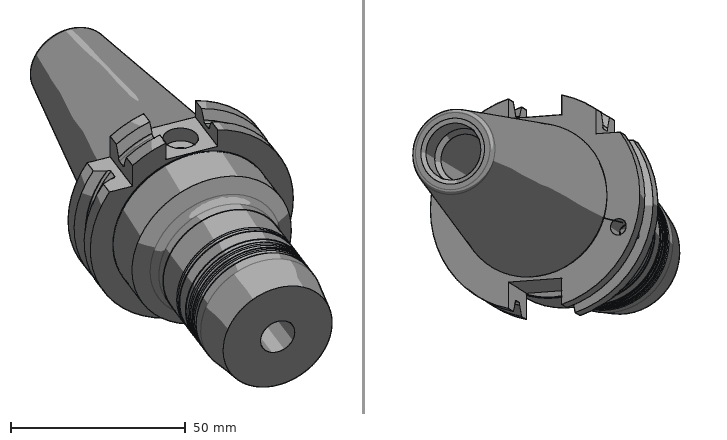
import cadquery as cq
import math

total_length = 148.4
taper_end = 69.6
flange_start = 71.5
flange_width = 15.9
flange_end = flange_start + flange_width
shoulder_start = 101.5
collar_end = 110.0
nose_taper_start = 136.8

taper_slope = 3.5 / 24
taper_small_radius = 12.3
taper_big_radius = taper_small_radius + taper_slope * taper_end
neck_radius = 21.8
flange_radius = 31.8
body_radius = 25.0
collar_radius = 18.8
nose_radius = 19.0
nose_tip_radius = 17.0
taper_rim_fillet = 1.2
body_relief_width = 0.5
body_relief_depth = 0.3
shoulder_angle = 60.0
shoulder_fillet = 3.1
selector_margin = 0.1

groove_center = flange_start + flange_width / 2
groove_mouth_half = 3.5
groove_wall_half = 2.0
groove_wall_radius = 29.0
groove_floor_radius = 28.2
groove_corner_fillet = 0.6

band_depth = 0.22
band_ramp = 0.5
nose_bands = [
    (119.8, 121.5, band_ramp, 0.0),
    (126.0, 127.8, 0.0, band_ramp),
    (128.7, 130.5, band_ramp, 0.0),
    (131.5, 133.5, band_ramp, band_ramp),
]

mouth_radius = 9.6
mouth_depth = 0.6
pilot_radius = 8.3
pilot_depth = 8.2
pilot_cone_length = 1.6
thread_radius = 7.0
thread_depth = 74.2
through_radius = 5.3

slot_width = 16.2
top_slot_height = body_radius
bottom_slot_height = 23.0
notch_corner = 18.5
chip_radius = 5.0
chip_depth = 4.5
chip_pilot_radius = 1.8
chip_pilot_depth = 1.5
drill_tip_ratio = 0.6

coolant_radius = 2.4
coolant_depth = groove_center - flange_start
coolant_outlet_floor = 25.8
coolant_circle_radius = 26.9
coolant_angle = 20.0

needle_radius = 0.07
needle_length = 27.9
needle_angle = 17.0
needle_station = 71.1


def revolve_about_axis(outline):
    """Revolve a closed XZ outline (Z is the radius) around the tool axis."""
    return outline.close().revolve(360, (0, 0, 0), (1, 0, 0))


def flange_box(y_min, y_max, z_min, z_max):
    """Box as wide as the flange, used to cut through it."""
    return (
        cq.Workplane("XY")
        .box(flange_width, y_max - y_min, z_max - z_min, centered=False)
        .translate((flange_start, y_min, z_min))
    )


def make_blank():
    """Turned outside of the holder: taper, neck, flange, body, shoulder and nose."""
    shoulder_end = shoulder_start + (body_radius - collar_radius) / math.tan(math.radians(shoulder_angle))
    blank = revolve_about_axis(
        cq.Workplane("XZ")
        .moveTo(0, 0)
        .lineTo(0, taper_small_radius)
        .lineTo(taper_end, taper_big_radius)
        .lineTo(taper_end, neck_radius)
        .lineTo(flange_start, neck_radius)
        .lineTo(flange_start, flange_radius)
        .lineTo(flange_end, flange_radius)
        .lineTo(flange_end, body_radius - body_relief_depth)
        .lineTo(flange_end + body_relief_width, body_radius - body_relief_depth)
        .lineTo(flange_end + body_relief_width, body_radius)
        .lineTo(shoulder_start, body_radius)
        .lineTo(shoulder_end, collar_radius)
        .lineTo(collar_end, collar_radius)
        .lineTo(collar_end, nose_radius)
        .lineTo(nose_taper_start, nose_radius)
        .lineTo(total_length, nose_tip_radius)
        .lineTo(total_length, 0)
    )
    blank = blank.faces("<X").edges().fillet(taper_rim_fillet)
    shoulder_root = cq.selectors.BoxSelector(
        (shoulder_end - selector_margin, -body_radius, -body_radius),
        (shoulder_end + selector_margin, body_radius, body_radius),
    )
    return blank.edges(shoulder_root).fillet(shoulder_fillet)


def make_gripper_groove():
    """Ring with 30 degree flanks, short upright walls and a rounded floor."""
    ring = revolve_about_axis(
        cq.Workplane("XZ")
        .moveTo(groove_center - groove_mouth_half, flange_radius)
        .lineTo(groove_center - groove_wall_half, groove_wall_radius)
        .lineTo(groove_center - groove_wall_half, groove_floor_radius)
        .lineTo(groove_center + groove_wall_half, groove_floor_radius)
        .lineTo(groove_center + groove_wall_half, groove_wall_radius)
        .lineTo(groove_center + groove_mouth_half, flange_radius)
    )
    floor_edges = cq.selectors.RadiusNthSelector(0)
    return ring.edges("%CIRCLE").edges(floor_edges).fillet(groove_corner_fillet)


def make_nose_band(start, end, start_ramp, end_ramp):
    """Shallow ring cut from the nose, with an optional ramp at each end."""
    floor_radius = nose_radius - band_depth
    outline = cq.Workplane("XZ").moveTo(start, nose_radius).lineTo(start + start_ramp, floor_radius)
    outline = outline.lineTo(end - end_ramp, floor_radius).lineTo(end, nose_radius)
    return revolve_about_axis(outline)


def make_bore():
    """Stepped bore along the whole axis, every step joined by a cone."""
    pilot_cone_end = pilot_depth + pilot_cone_length
    thread_cone_end = thread_depth + thread_radius - through_radius
    return revolve_about_axis(
        cq.Workplane("XZ")
        .moveTo(0, 0)
        .lineTo(0, mouth_radius)
        .lineTo(mouth_depth, pilot_radius)
        .lineTo(pilot_depth, pilot_radius)
        .lineTo(pilot_cone_end, thread_radius)
        .lineTo(thread_depth, thread_radius)
        .lineTo(thread_cone_end, through_radius)
        .lineTo(total_length, through_radius)
        .lineTo(total_length, 0)
    )


def make_flange_cuts():
    """Two drive slots and the orientation notch."""
    half_slot = slot_width / 2
    top_slot = flange_box(-half_slot, half_slot, top_slot_height, flange_radius)
    bottom_slot = flange_box(-half_slot, half_slot, -flange_radius, -bottom_slot_height)
    notch = flange_box(-flange_radius, -notch_corner, notch_corner, flange_radius)
    return [top_slot, bottom_slot, notch]


def make_chip_pocket():
    """Round pocket in the top slot floor with a drilled, cone-tipped pilot below it."""
    floor_height = top_slot_height - chip_depth
    pilot_height = floor_height - chip_pilot_depth
    tip_height = pilot_height - chip_pilot_radius * drill_tip_ratio
    return (
        cq.Workplane("XZ")
        .moveTo(0, top_slot_height)
        .lineTo(chip_radius, top_slot_height)
        .lineTo(chip_radius, floor_height)
        .lineTo(chip_pilot_radius, floor_height)
        .lineTo(chip_pilot_radius, pilot_height)
        .lineTo(0, tip_height)
        .close()
        .revolve(360, (0, 0, 0), (0, 1, 0))
        .translate((groove_center, 0, 0))
    )


def make_coolant_passage(angle):
    """Axial hole from the flange face to a cone-tipped radial hole, at an angle from +Y about the axis."""
    inlet = (
        cq.Workplane("YZ", origin=(flange_start, coolant_circle_radius, 0))
        .circle(coolant_radius)
        .extrude(coolant_depth)
    )
    outlet_tip = coolant_outlet_floor - coolant_radius * drill_tip_ratio
    outlet = (
        cq.Workplane("XY")
        .moveTo(0, outlet_tip)
        .lineTo(coolant_radius, coolant_outlet_floor)
        .lineTo(coolant_radius, flange_radius)
        .lineTo(0, flange_radius)
        .close()
        .revolve(360, (0, 0, 0), (0, 1, 0))
        .translate((groove_center, 0, 0))
    )
    return inlet.union(outlet).rotate((0, 0, 0), (1, 0, 0), angle)


def make_needle():
    """Thin round needle running outward from the tool axis."""
    return (
        cq.Workplane("XZ", origin=(needle_station, 0, 0))
        .circle(needle_radius)
        .extrude(needle_length)
        .rotate((0, 0, 0), (1, 0, 0), needle_angle)
    )


def make_holder(needle):
    """Tool holder with all its cuts and a hole matching the needle."""
    holder = make_blank().cut(make_gripper_groove()).cut(make_bore()).cut(make_chip_pocket())
    for band in nose_bands:
        holder = holder.cut(make_nose_band(*band))
    for flange_cut in make_flange_cuts():
        holder = holder.cut(flange_cut)
    for angle in (coolant_angle, coolant_angle + 180):
        holder = holder.cut(make_coolant_passage(angle))
    return holder.cut(needle)


needle = make_needle()
holder = make_holder(needle)
result = cq.Compound.makeCompound([holder.val(), needle.val()])